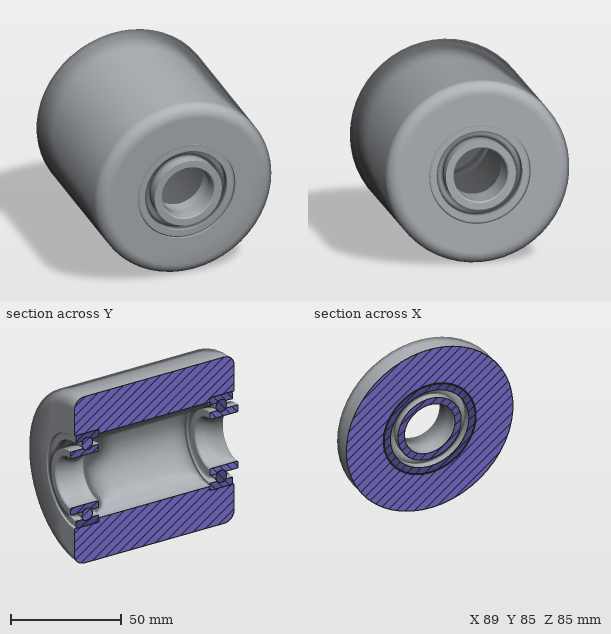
import cadquery as cq

overall_length = 89.0
roller_length = 85.0
roller_radius = roller_length / 2
rim_fillet = 5.5
through_bore_radius = 21.4

outer_ring_radius = 23.5
outer_ring_inner_radius = 19.85
inner_ring_radius = 16.2
bearing_bore_radius = 12.5
ring_chamfer = 0.5
inner_ring_width = 15.0
outer_ring_recess = 0.8

rolling_section_radius = 2.9
rolling_pitch_radius = (outer_ring_inner_radius + inner_ring_radius) / 2

outer_ring_face = roller_length / 2 - outer_ring_recess
seat_floor = overall_length / 2 - inner_ring_width
outer_ring_width = outer_ring_face - seat_floor
inner_ring_centre = seat_floor + inner_ring_width / 2
outer_ring_centre = seat_floor + outer_ring_width / 2

SIDES = (-1, 1)


def disc(radius, start, end):
    """Solid cylinder along X between two X positions."""
    return cq.Workplane("YZ", origin=(start, 0, 0)).circle(radius).extrude(end - start)


def tube(outer_radius, inner_radius, centre, width):
    """Hollow cylinder along X, centred on the given X position."""
    start = centre - width / 2
    return cq.Workplane("YZ", origin=(start, 0, 0)).circle(outer_radius).circle(inner_radius).extrude(width)


def make_roller():
    half = roller_length / 2
    body = disc(roller_radius, -half, half).edges().fillet(rim_fillet)
    body = body.cut(disc(through_bore_radius, -half, half))
    for side in SIDES:
        near, far = sorted((side * seat_floor, side * half))
        body = body.cut(disc(outer_ring_radius, near, far))
    return body


def make_rolling_ring(side):
    """Torus around X; the bearing rings are also cut with it to form their raceways."""
    torus = cq.Solid.makeTorus(
        rolling_pitch_radius,
        rolling_section_radius,
        cq.Vector(side * outer_ring_centre, 0, 0),
        cq.Vector(1, 0, 0),
    )
    return cq.Workplane(torus)


def make_outer_ring(side):
    ring = tube(outer_ring_radius, outer_ring_inner_radius, side * outer_ring_centre, outer_ring_width)
    ring = ring.edges(cq.selectors.RadiusNthSelector(-1)).chamfer(ring_chamfer)
    return ring.cut(make_rolling_ring(side))


def make_inner_ring(side):
    ring = tube(inner_ring_radius, bearing_bore_radius, side * inner_ring_centre, inner_ring_width)
    ring = ring.edges(cq.selectors.RadiusNthSelector(0)).chamfer(ring_chamfer)
    return ring.cut(make_rolling_ring(side))


roller = make_roller()
outer_rings = [make_outer_ring(side) for side in SIDES]
inner_rings = [make_inner_ring(side) for side in SIDES]
rolling_rings = [make_rolling_ring(side) for side in SIDES]

bodies = [roller, *outer_rings, *inner_rings, *rolling_rings]
result = cq.Compound.makeCompound([body.val() for body in bodies])